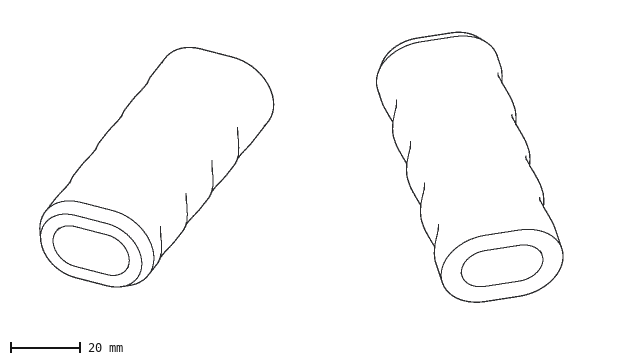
import cadquery as cq

length = 88.0
outer_height = 26.0
flat_width = 10.0
bore_height = 14.0

bevel_inset = 2.0
bevel_length = 4.0

groove_count = 4
groove_pitch = 18.0
groove_radius = 10.0
groove_depth = 2.8
groove_edge_fillet = 4.0

outer_width = flat_width + outer_height
bore_width = flat_width + bore_height
back_y = length / 2
front_y = -back_y
bevel_start_y = front_y + bevel_length
groove_axis_x = outer_width / 2 + groove_radius - groove_depth


def stadium_bar(width, height, front_y, back_y):
    """Bar along Y with a stadium section, centred on the Y axis."""
    return (
        cq.Workplane("XZ", origin=(0, back_y, 0))
        .slot2D(width, height)
        .extrude(back_y - front_y)
    )


def beveled_end():
    """Front end whose section shrinks evenly all round toward -Y."""
    return (
        cq.Workplane("XZ", origin=(0, bevel_start_y, 0))
        .slot2D(outer_width, outer_height)
        .workplane(offset=bevel_length)
        .slot2D(outer_width - 2 * bevel_inset, outer_height - 2 * bevel_inset)
        .loft(ruled=True)
    )


def finger_groove(side, y):
    """Upright cylinder that scoops a finger groove from one rounded side."""
    return (
        cq.Workplane("XY")
        .center(side * groove_axis_x, y)
        .circle(groove_radius)
        .extrude(outer_height / 2, both=True)
    )


grip = stadium_bar(outer_width, outer_height, bevel_start_y, back_y)
for side in (-1, 1):
    for index in range(groove_count):
        y = (index - (groove_count - 1) / 2) * groove_pitch
        grip = grip.cut(finger_groove(side, y))

grip = grip.edges("not (%LINE or %CIRCLE)").fillet(groove_edge_fillet)

bore = stadium_bar(bore_width, bore_height, front_y, back_y)
result = grip.union(beveled_end()).cut(bore)